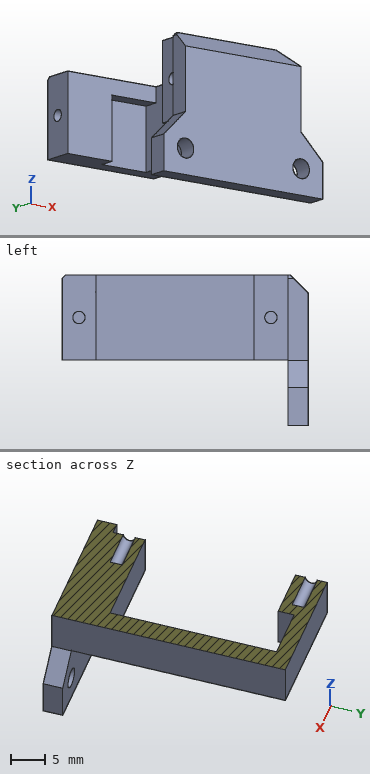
import cadquery as cq

length_x = 29.0
length_y = 36.0
height = 22.0

plate_thickness = 3.02
ear_width = 3.95
ear_side_height = 5.55
ear_shoulder_height = ear_side_height + ear_width
mount_hole_diameter = 3.0
mount_hole_z = 4.0

frame_bottom = 9.58
arm_width = 4.95
arm_start_x = 5.7
wall_thickness = 3.28
body_left = ear_width
body_right = length_x - ear_width
back_arm_y = length_y - arm_width
front_arm_end_y = plate_thickness + arm_width

large_chamfer = 2.63
small_chamfer = 0.5

arm_hole_diameter = 1.8
arm_hole_depth = 6.0
arm_hole_z = (frame_bottom + height) / 2
end_block_length = 8.05
relief_depth = 2.45
relief_roof = 2.45


def box_between(low, high):
    """Axis-aligned box given by two opposite corners."""
    size = [b - a for a, b in zip(low, high)]
    return cq.Workplane("XY").box(*size, centered=False).translate(low)


def make_plate():
    """Plate with two sloped ears and a mounting hole in each."""
    outline = [
        (0, 0),
        (length_x, 0),
        (length_x, ear_side_height),
        (body_right, ear_shoulder_height),
        (body_right, height),
        (body_left, height),
        (body_left, ear_shoulder_height),
        (0, ear_side_height),
    ]
    plate = cq.Workplane("XZ").polyline(outline).close().extrude(-plate_thickness)
    holes = (
        cq.Workplane("XZ")
        .pushPoints([(x, mount_hole_z) for x in (body_left, body_right)])
        .circle(mount_hole_diameter / 2)
        .extrude(-plate_thickness)
    )
    return plate.cut(holes)


def make_frame():
    """Solid block opened towards -X to leave two arms and the wall."""
    block = box_between((arm_start_x, 0, frame_bottom), (body_right, length_y, height))
    opening = box_between(
        (arm_start_x, front_arm_end_y, frame_bottom),
        (body_right - wall_thickness, back_arm_y, height),
    )
    return block.cut(opening)


def make_relief():
    """Pocket in the inner face of the back arm, open at the bottom."""
    return box_between(
        (arm_start_x + end_block_length, back_arm_y, frame_bottom),
        (body_right - wall_thickness, back_arm_y + relief_depth, height - relief_roof),
    )


def make_arm_holes():
    """Blind screw holes centred in the arm ends."""
    centres = [plate_thickness + arm_width / 2, length_y - arm_width / 2]
    return (
        cq.Workplane("YZ", origin=(arm_start_x, 0, 0))
        .pushPoints([(y, arm_hole_z) for y in centres])
        .circle(arm_hole_diameter / 2)
        .extrude(arm_hole_depth)
    )


def edge_cutter(plane, edge, inward, size, span):
    """Triangular prism that bevels a top edge; inward is +1 or -1 across it."""
    corner = [
        (edge, height),
        (edge + inward * size, height),
        (edge, height - size),
    ]
    return cq.Workplane(plane).polyline(corner).close().extrude(span)


result = make_plate().union(make_frame())
result = result.cut(make_relief()).cut(make_arm_holes())

result = result.cut(edge_cutter("YZ", 0, 1, large_chamfer, length_x))
result = result.cut(edge_cutter("YZ", length_y, -1, small_chamfer, length_x))
result = result.cut(edge_cutter("XZ", body_right, -1, large_chamfer, -length_y))
result = result.cut(edge_cutter("XZ", body_left, 1, small_chamfer, -length_y))